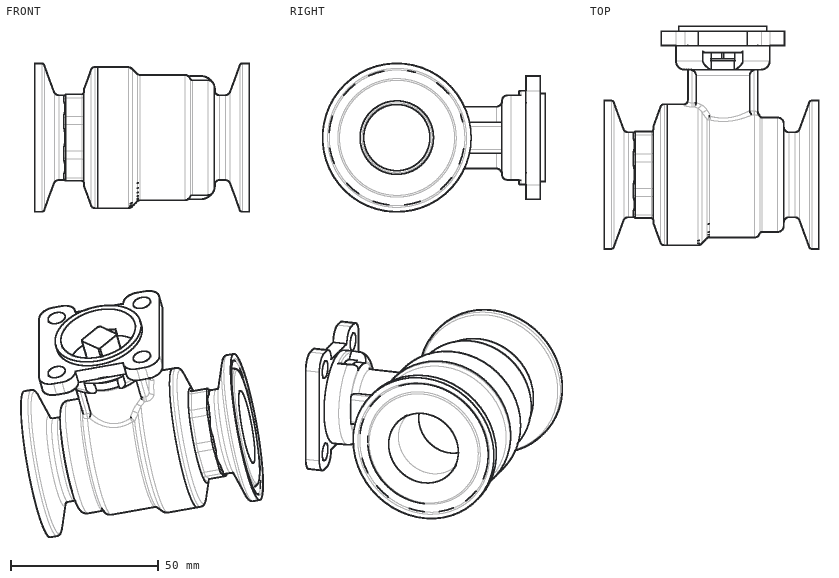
import cadquery as cq
import math

STEM_X = 3.9
TOLERANCE = 0.01

OVERALL_DEPTH = 75.75

END_X = 36.5
RIM_RADIUS = 50.5 / 2
RIM_CORNER_X = 33.4
RIM_CORNER_FILLET = 1.0
CONE_SLOPE = math.tan(math.radians(70))
FERRULE_NECK_RADIUS = 14.5
FERRULE_NECK_FILLET = 1.7
GROOVE_CENTRE_RADIUS = 21.6
GROOVE_RADIUS = 1.5
GROOVE_EDGE_FILLET = 0.6
RIM_CONE_LENGTH = (RIM_RADIUS - FERRULE_NECK_RADIUS) / CONE_SLOPE

BORE_MOUTH_RADIUS = 12.5
BORE_STEP_RADIUS = 11.9
BORE_STEP_DEPTH = 8.3
BORE_SEAT_RADIUS = 22.5 / 2

BALL_RADIUS = 34.0 / 2
BALL_FLAT_RADIUS = 24.0 / 2
BALL_FLAT_DISTANCE = math.sqrt(BALL_RADIUS**2 - BALL_FLAT_RADIUS**2)
SEAT_LEFT_X = STEM_X - BALL_FLAT_DISTANCE
SEAT_RIGHT_X = STEM_X + BALL_FLAT_DISTANCE

OCTAGON_START_X = -26.5
OCTAGON_SIDES = 8
OCTAGON_FLATS = 29.5
OCTAGON_CORNER_FILLET = 3.9
OCTAGON_CHAMFER = 0.6
OCTAGON_ROOT_FILLET = 0.75
CAP_FACE_X = -19.8
CAP_FACE_RADIUS = 16.4
JOINT_X = -15.0

DRUM_RADIUS = 48.0 / 2
DRUM_EDGE_FILLET = 1.4
DRUM_END_X = -3.95
DRUM_END_FILLET = 1.9
BARREL_RADIUS = 42.7 / 2
BARREL_START_FILLET = 1.1
BARREL_END_X = 15.8
BARREL_END_FILLET = 2.05
COLLAR_RADIUS = 39.0 / 2
COLLAR_START_X = 16.6
COLLAR_START_FILLET = 0.8
COLLAR_END_X = 24.6
COLLAR_END_FILLET = 2.3

NECK_RADIUS = 10.5
RIB_WIDTH = 23.85
RIB_HEIGHT = 10.6
RIB_EDGE_FILLET = 1.4
NECK_ROOT_FILLET = 1.4
NECK_TOP_FILLET = 1.9

CUP_RADIUS = 32.0 / 2
CUP_BOTTOM_Y = 35.7
CUP_FILLET = 3.0
CUP_FLOOR_Y = 38.8
CUP_BORE_RADIUS = 26.0 / 2

WINDOW_HALF_WIDTH = 7.8 / 2
WINDOW_FLARE = 2.95
WINDOW_FLOOR_RADIUS = NECK_RADIUS + NECK_TOP_FILLET
WINDOW_TOP_Y = 41.4
WINDOW_FLARE_TOP_Z = 14.5
WINDOW_TOP_FILLET = 0.6

FLANGE_FRONT_Y = 43.85
FLANGE_BACK_Y = 48.8
FLANGE_HALF = 42.0 / 2
FLANGE_CORNER = 5.0
EAR_INNER_X = 13.0
EAR_INNER_RADIUS = 4.7
SCREW_HOLE_RADIUS = 6.0 / 2
SCREW_HOLE_OFFSET = 14.85
LIP_RADIUS = 30.0 / 2
LIP_END_Y = OVERALL_DEPTH - RIM_RADIUS

STEM_RADIUS = 13.5 / 2
STEM_SHOULDER_Y = 39.4
STEM_SQUARE = 9.0
STEM_CORNER_CHAMFER = 0.45
STEM_BOTTOM_Y = math.sqrt(BALL_RADIUS**2 - STEM_RADIUS**2)


def rounded_outline(points):
    """Closed XY outline through (x, y, fillet) corners; a fillet of 0 leaves the corner sharp."""
    pieces = []
    count = len(points)
    for i, (x, y, fillet) in enumerate(points):
        corner = cq.Vector(x, y)
        if fillet == 0:
            pieces.append((corner, None, corner))
            continue
        before = (cq.Vector(*points[i - 1][:2]) - corner).normalized()
        after = (cq.Vector(*points[(i + 1) % count][:2]) - corner).normalized()
        half_angle = before.getAngle(after) / 2
        tangent = fillet / math.tan(half_angle)
        to_middle = fillet / math.sin(half_angle) - fillet
        middle = corner + (before + after).normalized() * to_middle
        pieces.append((corner + before * tangent, middle, corner + after * tangent))
    outline = cq.Workplane("XY").moveTo(*pieces[0][2].toTuple()[:2])
    for start, middle, end in pieces[1:]:
        outline = outline.lineTo(start.x, start.y)
        if middle is not None:
            outline = outline.threePointArc((middle.x, middle.y), (end.x, end.y))
    return outline.close()


def turned(points):
    """Solid of revolution about X from (x, radius, fillet) corners."""
    return rounded_outline(points).revolve(360, (0, 0), (1, 0))


def bar_along_x(radius, start_x, end_x):
    return cq.Workplane("YZ", origin=(start_x, 0, 0)).circle(radius).extrude(end_x - start_x)


def stem_plane(y):
    """Plane at height y on the stem axis, facing +Y, with local x along -X and local y along Z."""
    return cq.Workplane(cq.Plane((STEM_X, y, 0), (-1, 0, 0), (0, 1, 0)))


def bar_along_stem(radius, start_y, end_y):
    return stem_plane(start_y).circle(radius).extrude(end_y - start_y)


def ferrule(neck_end_x):
    """Left-hand clamp ferrule whose neck runs on to neck_end_x, with the gasket groove in its face."""
    cone_end_x = -RIM_CORNER_X + RIM_CONE_LENGTH
    body = turned([
        (-END_X, 0, 0),
        (-END_X, RIM_RADIUS, 0),
        (-RIM_CORNER_X, RIM_RADIUS, RIM_CORNER_FILLET),
        (cone_end_x, FERRULE_NECK_RADIUS, FERRULE_NECK_FILLET),
        (neck_end_x, FERRULE_NECK_RADIUS, 0),
        (neck_end_x, 0, 0),
    ])
    groove = (
        cq.Workplane("XY")
        .moveTo(-END_X, GROOVE_CENTRE_RADIUS - GROOVE_RADIUS)
        .threePointArc(
            (-END_X + GROOVE_RADIUS, GROOVE_CENTRE_RADIUS),
            (-END_X, GROOVE_CENTRE_RADIUS + GROOVE_RADIUS),
        )
        .close()
        .revolve(360, (0, 0), (1, 0))
    )
    body = body.cut(groove)
    groove_edges = [
        edge for edge in body.faces("<X").edges().vals()
        if abs(edge.radius() - GROOVE_CENTRE_RADIUS) < GROOVE_RADIUS + TOLERANCE
    ]
    return body.newObject(groove_edges).fillet(GROOVE_EDGE_FILLET)


def flow_bore(seat_x):
    """Tapered passage from the left-hand ferrule face to the ball flat at seat_x."""
    return turned([
        (-END_X, 0, 0),
        (-END_X, BORE_MOUTH_RADIUS, 0),
        (-END_X + BORE_STEP_DEPTH, BORE_STEP_RADIUS, 0),
        (seat_x, BORE_SEAT_RADIUS, 0),
        (seat_x, 0, 0),
    ])


def make_cap():
    """Conical cap with a short drum, the octagon in front of it, and the edge between them rounded."""
    drum_start_x = CAP_FACE_X + (DRUM_RADIUS - CAP_FACE_RADIUS) / CONE_SLOPE
    cap = turned([
        (CAP_FACE_X, 0, 0),
        (CAP_FACE_X, CAP_FACE_RADIUS, 0),
        (drum_start_x, DRUM_RADIUS, DRUM_EDGE_FILLET),
        (JOINT_X, DRUM_RADIUS, 0),
        (JOINT_X, 0, 0),
    ])
    octagon_diameter = OCTAGON_FLATS / math.cos(math.pi / OCTAGON_SIDES)
    octagon = (
        cq.Workplane("YZ", origin=(OCTAGON_START_X, 0, 0))
        .transformed(rotate=(0, 0, 180 / OCTAGON_SIDES))
        .polygon(OCTAGON_SIDES, octagon_diameter)
        .extrude(CAP_FACE_X - OCTAGON_START_X)
        .edges("|X").fillet(OCTAGON_CORNER_FILLET)
        .faces("<X").edges().chamfer(OCTAGON_CHAMFER)
    )
    cap = cap.union(octagon)
    root_edges = [
        edge for edge in cap.edges().vals()
        if abs(edge.Center().x - CAP_FACE_X) < TOLERANCE
        and math.hypot(*edge.startPoint().toTuple()[1:]) < CAP_FACE_RADIUS - TOLERANCE
    ]
    return cap.newObject(root_edges).fillet(OCTAGON_ROOT_FILLET)


def make_end_piece():
    """Ferrule, octagon and cap in one, with a plain spigot that reaches the ball."""
    spigot = bar_along_x(BALL_RADIUS, JOINT_X, SEAT_LEFT_X)
    body = ferrule(CAP_FACE_X).union(make_cap()).union(spigot)
    return body.cut(flow_bore(SEAT_LEFT_X))


def make_barrel():
    """Turned outside of the housing, from the cap joint to the right-hand ferrule neck."""
    barrel_start_x = DRUM_END_X + DRUM_RADIUS - BARREL_RADIUS
    return turned([
        (JOINT_X, 0, 0),
        (JOINT_X, DRUM_RADIUS, 0),
        (DRUM_END_X, DRUM_RADIUS, DRUM_END_FILLET),
        (barrel_start_x, BARREL_RADIUS, BARREL_START_FILLET),
        (BARREL_END_X, BARREL_RADIUS, BARREL_END_FILLET),
        (COLLAR_START_X, COLLAR_RADIUS, COLLAR_START_FILLET),
        (COLLAR_END_X, COLLAR_RADIUS, COLLAR_END_FILLET),
        (COLLAR_END_X, FERRULE_NECK_RADIUS, FERRULE_NECK_FILLET),
        (END_X - BORE_STEP_DEPTH, FERRULE_NECK_RADIUS, 0),
        (END_X - BORE_STEP_DEPTH, 0, 0),
    ])


def make_neck():
    """Round neck with a flat rib on either side."""
    neck = bar_along_stem(NECK_RADIUS, 0, CUP_BOTTOM_Y)
    ribs = (
        stem_plane(0).rect(RIB_WIDTH, RIB_HEIGHT).extrude(CUP_BOTTOM_Y)
        .edges("|Y").fillet(RIB_EDGE_FILLET)
    )
    return neck.union(ribs)


def make_neck_flare():
    """Concave ring where the neck widens into the cup."""
    bend = NECK_TOP_FILLET * (1 - math.sqrt(0.5))
    return (
        cq.Workplane("XY", origin=(STEM_X, 0, 0))
        .moveTo(0, CUP_BOTTOM_Y - NECK_TOP_FILLET)
        .lineTo(NECK_RADIUS, CUP_BOTTOM_Y - NECK_TOP_FILLET)
        .threePointArc((NECK_RADIUS + bend, CUP_BOTTOM_Y - bend), (WINDOW_FLOOR_RADIUS, CUP_BOTTOM_Y))
        .lineTo(WINDOW_FLOOR_RADIUS, CUP_FLOOR_Y)
        .lineTo(0, CUP_FLOOR_Y)
        .close()
        .revolve(360, (0, 0), (0, 1))
    )


def make_cup():
    """Cup outside with a window on its upper and lower side and a flare under it."""
    cup = (
        bar_along_stem(CUP_RADIUS, CUP_BOTTOM_Y, FLANGE_FRONT_Y)
        .faces("<Y").edges().fillet(CUP_FILLET)
    )
    for side in (1, -1):
        cup = cup.cut(window(side))
    window_top_edges = [
        edge for edge in cup.edges().vals()
        if edge.geomType() == "CIRCLE"
        and abs(edge.radius() - CUP_RADIUS) < TOLERANCE
        and abs(edge.Center().y - WINDOW_TOP_Y) < TOLERANCE
    ]
    cup = cup.newObject(window_top_edges).fillet(WINDOW_TOP_FILLET)
    return cup.union(make_neck_flare())


def window(side):
    """Opening with rounded, widening side walls, on the +Z (side=1) or -Z (side=-1) side."""
    flare_low = side * (WINDOW_FLARE_TOP_Z - WINDOW_FLARE)
    flare_top = side * WINDOW_FLARE_TOP_Z
    outside = side * FLANGE_HALF
    wide = WINDOW_HALF_WIDTH + WINDOW_FLARE
    bend = WINDOW_FLARE * (1 - math.sqrt(0.5))
    return (
        stem_plane(CUP_BOTTOM_Y)
        .moveTo(-WINDOW_HALF_WIDTH, 0)
        .lineTo(-WINDOW_HALF_WIDTH, flare_low)
        .threePointArc((-WINDOW_HALF_WIDTH - bend, flare_top - side * bend), (-wide, flare_top))
        .lineTo(-wide, outside)
        .lineTo(wide, outside)
        .lineTo(wide, flare_top)
        .threePointArc(
            (WINDOW_HALF_WIDTH + bend, flare_top - side * bend),
            (WINDOW_HALF_WIDTH, flare_low),
        )
        .lineTo(WINDOW_HALF_WIDTH, 0)
        .close()
        .extrude(WINDOW_TOP_Y - CUP_BOTTOM_Y)
    )


def make_flange():
    """Mounting plate with four ears, screw holes and a locating lip."""
    thickness = FLANGE_BACK_Y - FLANGE_FRONT_Y
    flange = (
        stem_plane(FLANGE_FRONT_Y).rect(2 * FLANGE_HALF, 2 * FLANGE_HALF).extrude(thickness)
        .edges("|Y").fillet(FLANGE_CORNER)
    )
    gap_bottom = FLANGE_HALF - EAR_INNER_RADIUS
    bend = EAR_INNER_RADIUS * math.sqrt(0.5)
    gap_half = EAR_INNER_X - EAR_INNER_RADIUS
    for side in (1, -1):
        top = side * FLANGE_HALF
        low = side * gap_bottom
        gap = (
            stem_plane(FLANGE_FRONT_Y)
            .moveTo(-EAR_INNER_X, top)
            .threePointArc((-EAR_INNER_X + bend, low + side * bend), (-gap_half, low))
            .lineTo(gap_half, low)
            .threePointArc((EAR_INNER_X - bend, low + side * bend), (EAR_INNER_X, top))
            .close()
            .extrude(thickness)
        )
        flange = flange.cut(gap)
    holes = (
        stem_plane(FLANGE_FRONT_Y)
        .rect(2 * SCREW_HOLE_OFFSET, 2 * SCREW_HOLE_OFFSET, forConstruction=True)
        .vertices().circle(SCREW_HOLE_RADIUS).extrude(thickness)
    )
    return flange.cut(holes).union(bar_along_stem(LIP_RADIUS, FLANGE_BACK_Y, LIP_END_Y))


def make_trunk():
    """Barrel with the neck standing on it, rounded where the two meet."""
    trunk = make_barrel().union(make_neck())
    root_edges = []
    for edge in trunk.edges().vals():
        centre = edge.Center()
        in_reach = centre.y > NECK_RADIUS and abs(centre.x - STEM_X) < RIB_WIDTH / 2 + TOLERANCE
        on_barrel = all(point.Y < DRUM_RADIUS + TOLERANCE for point in edge.Vertices())
        off_seam = any(abs(point.Z) > TOLERANCE for point in edge.Vertices())
        if in_reach and on_barrel and off_seam:
            root_edges.append(edge)
    return trunk.newObject(root_edges).fillet(NECK_ROOT_FILLET)


def make_housing():
    trunk = make_trunk()
    right_ferrule = ferrule(-END_X + BORE_STEP_DEPTH).mirror("YZ")
    body = trunk.union(right_ferrule).union(make_cup()).union(make_flange())
    cavity = bar_along_x(BALL_RADIUS, JOINT_X, SEAT_RIGHT_X)
    right_bore = flow_bore(-SEAT_RIGHT_X).mirror("YZ")
    stem_hole = bar_along_stem(STEM_RADIUS, 0, CUP_FLOOR_Y)
    cup_bore = bar_along_stem(CUP_BORE_RADIUS, CUP_FLOOR_Y, LIP_END_Y)
    return body.cut(cavity).cut(right_bore).cut(stem_hole).cut(cup_bore)


def make_ball():
    """Closed ball with flats towards both ports and the stem."""
    width = 2 * BALL_FLAT_DISTANCE
    height = BALL_RADIUS + STEM_BOTTOM_Y
    trim = cq.Workplane("XY").box(width, height, 2 * BALL_RADIUS)
    trim = trim.translate((0, STEM_BOTTOM_Y - height / 2, 0))
    return cq.Workplane("XY").sphere(BALL_RADIUS).intersect(trim).translate((STEM_X, 0, 0))


def make_stem():
    """Round stem with a square drive end standing on its corner."""
    shank = bar_along_stem(STEM_RADIUS, STEM_BOTTOM_Y, STEM_SHOULDER_Y)
    square = (
        stem_plane(STEM_SHOULDER_Y).transformed(rotate=(0, 0, 45))
        .rect(STEM_SQUARE, STEM_SQUARE).extrude(FLANGE_BACK_Y - STEM_SHOULDER_Y)
        .edges("|Y").chamfer(STEM_CORNER_CHAMFER)
    )
    return shank.union(square)


housing = make_housing()
end_piece = make_end_piece()
ball = make_ball()
stem = make_stem()
result = cq.Compound.makeCompound([housing.val(), end_piece.val(), ball.val(), stem.val()])